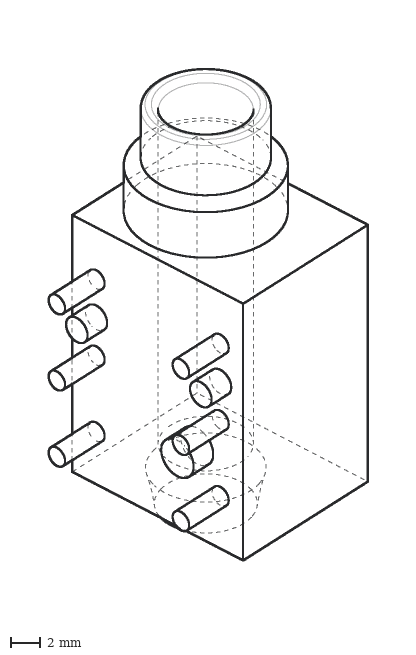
import cadquery as cq

body_width = 15.75
body_depth = 12.68
body_height = 21.38

axis_x = 6.4
axis_y = 6.5

collar_radius = 5.6
collar_height = 3.8
shoulder_height = 0.6
barrel_radius = 4.45
barrel_height = 4.45
barrel_rim_fillet = 0.3

bore_radius = 3.25
bore_mouth_fillet = 0.45
bore_depth = 28.22
bore_cone_height = 1.65

nub_height = 3.0
nub_top_radius = 4.12
nub_end_radius = 3.52
nub_flank_bow = 0.05

pin_radius = 0.75
pin_length = 4.02
left_column_x = 2.22
right_column_x = 13.65
lowest_row_z = 4.38
row_pitch = 6.35
pin_rows = 3

peg_length = 2.0
small_peg_radius = 1.0
small_peg_z = lowest_row_z + 1.5 * row_pitch
large_peg_radius = 1.5
large_peg_x = 11.5
large_peg_z = lowest_row_z + 0.5 * row_pitch

collar_top = body_height + collar_height
shoulder_top = collar_top + shoulder_height
barrel_top = shoulder_top + barrel_height


def revolve_on_axis(profile):
    """Turn a closed radius-height profile about the barrel axis."""
    turned = profile.revolve(360, (0, 0, 0), (0, 1, 0))
    return turned.translate((axis_x, axis_y, 0))


def make_barrel():
    """Collar with a sloped shoulder, topped by the rounded barrel."""
    profile = (
        cq.Workplane("XZ")
        .moveTo(0, body_height)
        .lineTo(collar_radius, body_height)
        .lineTo(collar_radius, collar_top)
        .lineTo(barrel_radius, shoulder_top)
        .lineTo(barrel_radius, barrel_top)
        .lineTo(0, barrel_top)
        .close()
    )
    return revolve_on_axis(profile).faces(">Z").edges().fillet(barrel_rim_fillet)


def make_nub():
    """Tapered nub below the housing, with a slightly hollow flank."""
    flank_middle_radius = (nub_top_radius + nub_end_radius) / 2 - nub_flank_bow
    profile = (
        cq.Workplane("XZ")
        .lineTo(nub_top_radius, 0)
        .threePointArc((flank_middle_radius, -nub_height / 2), (nub_end_radius, -nub_height))
        .lineTo(0, -nub_height)
        .close()
    )
    return revolve_on_axis(profile)


def make_bore():
    """Cutter for the bore: flared mouth, straight wall and pointed floor."""
    floor_z = barrel_top - bore_depth
    profile = (
        cq.Workplane("XZ")
        .moveTo(0, floor_z - bore_cone_height)
        .lineTo(bore_radius, floor_z)
        .lineTo(bore_radius, barrel_top - bore_mouth_fillet)
        .radiusArc((bore_radius + bore_mouth_fillet, barrel_top), bore_mouth_fillet)
        .lineTo(0, barrel_top)
        .close()
    )
    return revolve_on_axis(profile)


def make_front_peg(x, z, radius, length):
    """Round peg standing out from the front face."""
    return cq.Workplane("XZ").center(x, z).circle(radius).extrude(length)


result = cq.Workplane("XY").box(body_width, body_depth, body_height, centered=False)
result = result.union(make_barrel()).union(make_nub()).cut(make_bore())

for column_x in (left_column_x, right_column_x):
    for row in range(pin_rows):
        pin_z = lowest_row_z + row * row_pitch
        result = result.union(make_front_peg(column_x, pin_z, pin_radius, pin_length))
    result = result.union(make_front_peg(column_x, small_peg_z, small_peg_radius, peg_length))

result = result.union(make_front_peg(large_peg_x, large_peg_z, large_peg_radius, peg_length))